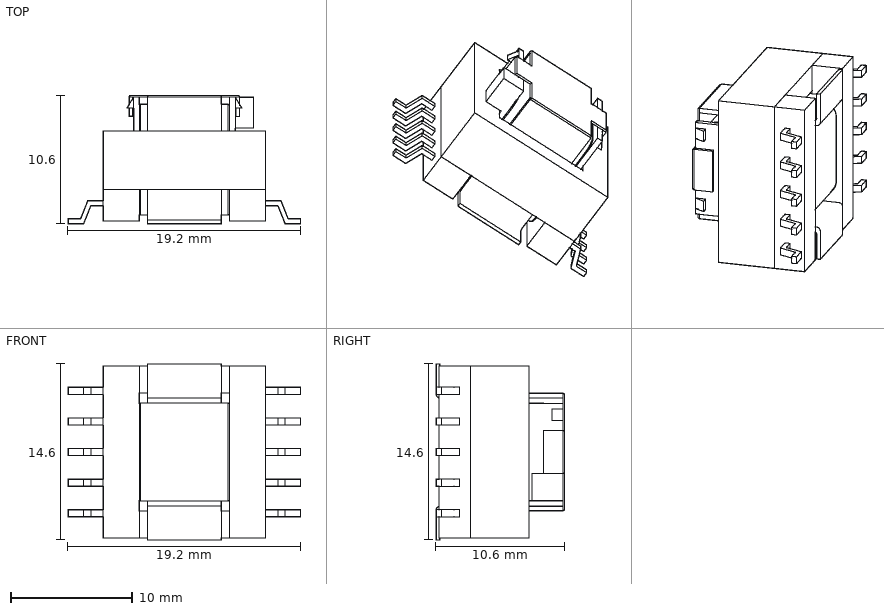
import cadquery as cq
import math


pin_span = 19.2
total_depth = 10.61
clip_height = 14.55

core_width = 13.4
core_height = 14.22
core_front = 2.83
core_back = 7.67

flange_half_x = 4.2
flange_half_z = 4.02
flange_thickness = 0.48
flange_inner_x = flange_half_x - flange_thickness
rail_front = 0.22
winding_front = 0.71
winding_back = 9.88
winding_half_z = 4.05
winding_radius = 1.22
winding_bevel_length = 0.1
winding_bevel_depth = 0.06

pins_per_side = 5
pin_pitch = 2.525
pin_width = 0.6
pin_thickness = 0.43
pin_shoulder_y = 1.48
pin_foot_length = 1.03
pin_foot_heel = 1.29
pin_shoulder_inner = 1.02
pin_shoulder_outer = 1.28

clip_half_x = 3.06
lid_thickness = 0.15
lid_bevel_inset = 0.07
lid_bevel_angle = math.degrees(math.atan2(lid_bevel_inset, lid_thickness))
lid_underside = total_depth - lid_thickness
leg_outer_z = 4.86
leg_thickness = 0.4
leg_inner_z = leg_outer_z - leg_thickness
foot_thickness = 0.31
bend_outer_radius = 0.33
bend_inner_radius = 0.3
tab_half_z = 1.79
tab_outer_x = 4.57
tab_thickness = 0.3
tab_front = 8.86

wedge_reach = 0.54
wedge_length = 0.9
wedge_height = 0.92
wedge_z = 3.08
key_reach = 1.52
key_front = 7.9


def box(x_range, y_range, z_range):
    """Axis-aligned box between the given limits."""
    (x0, x1), (y0, y1), (z0, z1) = x_range, y_range, z_range
    return cq.Workplane("XY").box(x1 - x0, y1 - y0, z1 - z0, centered=False).translate((x0, y0, z0))


def centered_box(half_x, y_range, half_z):
    """Box symmetric about X = 0 and Z = 0."""
    return box((-half_x, half_x), y_range, (-half_z, half_z))


def flat_profile(points, height, z_center):
    """Outline in the XY plane extruded equally above and below z_center."""
    return cq.Workplane("XY").workplane(offset=z_center - height / 2).polyline(points).close().extrude(height)


def make_core():
    depth = (core_front, core_back)
    block = centered_box(core_width / 2, depth, core_height / 2)
    window = centered_box(flange_half_x, depth, leg_outer_z)
    return block.cut(window)


def make_half_winding():
    """Half of the winding on the +X side, bevelled where it meets the flange."""
    winding_y = (winding_front, winding_back)
    half = box((0, flange_inner_x), winding_y, (-winding_half_z, winding_half_z))
    half = half.edges("|X").fillet(winding_radius)
    return half.faces(">X").chamfer(winding_bevel_length, winding_bevel_depth)


def make_pin(z):
    """Gull-wing pin on the +X side."""
    root = core_width / 2
    tip = pin_span / 2
    shoulder_top = pin_shoulder_y + pin_thickness
    points = [
        (root, shoulder_top),
        (root + pin_shoulder_outer, shoulder_top),
        (tip - pin_foot_length, pin_thickness),
        (tip, pin_thickness),
        (tip, 0),
        (tip - pin_foot_heel, 0),
        (root + pin_shoulder_inner, pin_shoulder_y),
        (root, pin_shoulder_y),
    ]
    return flat_profile(points, pin_width, z)


def make_wedge(z):
    """Snap wedge on the +X flange, widening away from the lid."""
    catch_y = lid_underside - wedge_length
    points = [
        (flange_half_x, lid_underside),
        (flange_half_x + wedge_reach, catch_y),
        (flange_half_x, catch_y),
    ]
    return flat_profile(points, wedge_height, z)


def make_half_bobbin():
    """The +X half of the bobbin: half winding, flange, rail, pins and wedges."""
    flange_z = (-flange_half_z, flange_half_z)
    flange = box((flange_inner_x, flange_half_x), (rail_front, lid_underside), flange_z)
    rail_z = (-core_height / 2, core_height / 2)
    rail = box((flange_inner_x, core_width / 2), (rail_front, core_front), rail_z)
    half = make_half_winding().union(flange).union(rail)
    for i in range(pins_per_side):
        half = half.union(make_pin((i - (pins_per_side - 1) / 2) * pin_pitch))
    for side in (-1, 1):
        half = half.union(make_wedge(side * wedge_z))
    return half


def make_bobbin():
    half = make_half_bobbin()
    key_x = (flange_half_x, flange_half_x + key_reach)
    key = box(key_x, (key_front, lid_underside), (-flange_half_z, -tab_half_z))
    return half.union(half.mirror("YZ")).union(key)


def make_leg():
    """Leg on the +Z side with its outward foot, as an L profile rounded at the bend."""
    leg = box((-clip_half_x, clip_half_x), (0, lid_underside), (leg_inner_z, leg_outer_z))
    foot = box((-clip_half_x, clip_half_x), (0, foot_thickness), (leg_inner_z, clip_height / 2))
    bent = leg.union(foot)
    bent = bent.edges(cq.selectors.NearestToPointSelector((0, 0, leg_inner_z))).fillet(bend_outer_radius)
    inner_corner = cq.selectors.NearestToPointSelector((0, foot_thickness, leg_outer_z))
    return bent.edges(inner_corner).fillet(bend_inner_radius)


def make_lid_arm(half_x, half_z):
    """Rectangular plate of the lid, with its edges sloping inward toward +Y."""
    base = cq.Workplane("XZ", origin=(0, lid_underside, 0)).rect(2 * half_x, 2 * half_z)
    return base.extrude(-lid_thickness, taper=lid_bevel_angle)


def make_clip():
    lid = make_lid_arm(clip_half_x, leg_outer_z).union(make_lid_arm(tab_outer_x, tab_half_z))
    leg = make_leg()
    tab_x = (tab_outer_x - tab_thickness, tab_outer_x)
    tab = box(tab_x, (tab_front, lid_underside), (-tab_half_z, tab_half_z))
    return lid.union(leg).union(leg.mirror("XY")).union(tab).union(tab.mirror("YZ"))


core = make_core()
bobbin = make_bobbin()
clip = make_clip()

result = cq.Compound.makeCompound([core.solids().val(), bobbin.solids().val(), clip.solids().val()])